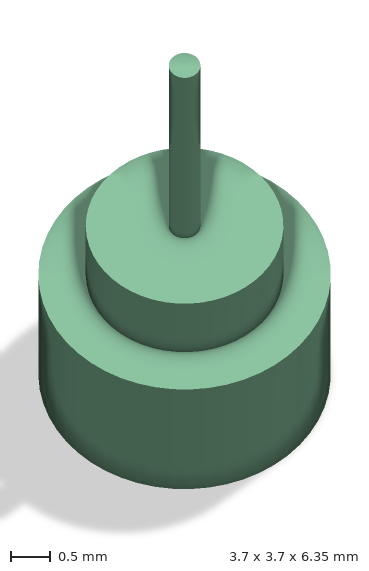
import cadquery as cq

total_height = 6.35

base_diameter = 3.7
base_height = 2.05

neck_diameter = 2.5
neck_height = 1.0

pin_diameter = 0.4
pin_height = total_height - base_height - neck_height


def add_cylinder(body, diameter, height):
    """Stack a centred cylinder on the top face of the body."""
    return body.faces(">Z").workplane().circle(diameter / 2).extrude(height)


result = cq.Workplane("XY").circle(base_diameter / 2).extrude(base_height)
result = add_cylinder(result, neck_diameter, neck_height)
result = add_cylinder(result, pin_diameter, pin_height)